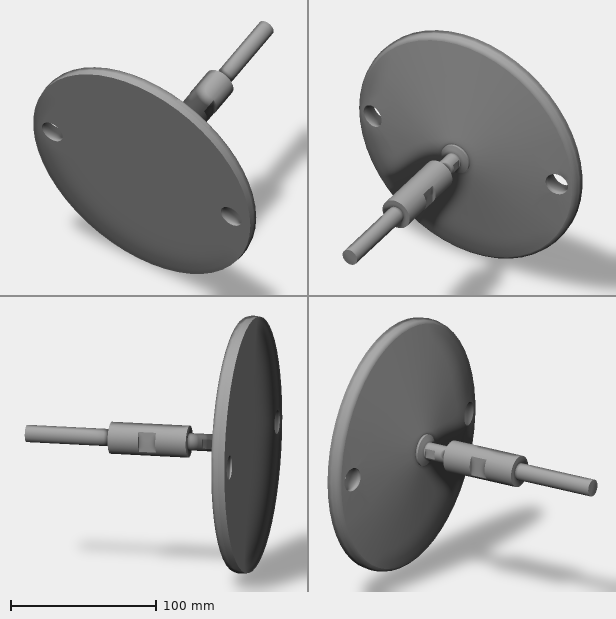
import cadquery as cq
import math

TOTAL_LENGTH = 160.0

PLATE_RADIUS = 89.0
RIM_EDGE_RADIUS = 88.5
RIM_WIDEST_HEIGHT = 4.5
RIM_TOP_HEIGHT = 7.1
SHOULDER_RADIUS = 86.2
SHOULDER_HEIGHT = 9.8
CONE_TOP_RADIUS = 11.7
CONE_TOP_HEIGHT = 22.8

HOLE_DIAMETER = 16.5
HOLE_CENTRE_OFFSET = 72.8
HOLE_CUT_MARGIN = 17.8

ROD_DIAMETER = 12.0
COLLAR_DIAMETER = 22.0
COLLAR_EDGE_HEIGHT = 24.4
COLLAR_TOP_HEIGHT = 26.2
SLEEVE_DIAMETER = 22.0
SLEEVE_START = 45.2
SLEEVE_END = 100.4
SLEEVE_FLATS_START = 66.8
SLEEVE_FLATS_END = 78.9
SLEEVE_FLATS_WIDTH = 17.0
ROD_FLATS_START = 27.2
ROD_FLATS_END = 34.9
ROD_FLATS_WIDTH = 10.0

cone_angle = math.atan2(CONE_TOP_HEIGHT - SHOULDER_HEIGHT, SHOULDER_RADIUS - CONE_TOP_RADIUS)


def rod_section(diameter, start, end):
    """Cylinder on the Y axis between two heights."""
    return cq.Workplane(cq.Solid.makeCylinder(
        diameter / 2, end - start, cq.Vector(0, start, 0), cq.Vector(0, 1, 0)))


def cut_flats(body, diameter, width, start, end):
    """Cut two opposite wrench flats facing -X and +X."""
    length = end - start
    depth = (diameter - width) / 2
    for side in (-1, 1):
        cutter = cq.Workplane("XY").box(2 * depth, length, diameter).translate(
            (side * (width / 2 + depth), start + length / 2, 0))
        body = body.cut(cutter)
    return body


def mounting_hole(side):
    """Cutter for one hole, leaning outward along the normal of the cone."""
    axis = cq.Vector(side * math.sin(cone_angle), math.cos(cone_angle), 0)
    start = cq.Vector(side * HOLE_CENTRE_OFFSET, 0, 0) - axis * HOLE_CUT_MARGIN
    length = CONE_TOP_HEIGHT + 2 * HOLE_CUT_MARGIN
    return cq.Solid.makeCylinder(HOLE_DIAMETER / 2, length, start, axis)


def make_foot_plate():
    """Conical disc with a rounded rim, a flat top and two tilted holes."""
    plate = (
        cq.Workplane("XY")
        .lineTo(RIM_EDGE_RADIUS, 0)
        .lineTo(PLATE_RADIUS, RIM_WIDEST_HEIGHT)
        .lineTo(RIM_EDGE_RADIUS, RIM_TOP_HEIGHT)
        .tangentArcPoint((SHOULDER_RADIUS, SHOULDER_HEIGHT), relative=False)
        .lineTo(CONE_TOP_RADIUS, CONE_TOP_HEIGHT)
        .lineTo(0, CONE_TOP_HEIGHT)
        .close()
        .revolve(360, (0, 0, 0), (0, 1, 0))
    )
    for side in (-1, 1):
        plate = plate.cut(mounting_hole(side))
    return plate


def make_collar():
    """Short cylinder that narrows in a bevel to the rod."""
    return (
        cq.Workplane("XY")
        .moveTo(0, CONE_TOP_HEIGHT)
        .lineTo(COLLAR_DIAMETER / 2, CONE_TOP_HEIGHT)
        .lineTo(COLLAR_DIAMETER / 2, COLLAR_EDGE_HEIGHT)
        .lineTo(ROD_DIAMETER / 2, COLLAR_TOP_HEIGHT)
        .lineTo(0, COLLAR_TOP_HEIGHT)
        .close()
        .revolve(360, (0, 0, 0), (0, 1, 0))
    )


def make_spindle():
    """Round rod on a collar, with a thicker sleeve; rod and sleeve each have two wrench flats."""
    rod = rod_section(ROD_DIAMETER, COLLAR_TOP_HEIGHT, TOTAL_LENGTH)
    rod = cut_flats(rod, ROD_DIAMETER, ROD_FLATS_WIDTH, ROD_FLATS_START, ROD_FLATS_END)
    sleeve = rod_section(SLEEVE_DIAMETER, SLEEVE_START, SLEEVE_END)
    sleeve = cut_flats(sleeve, SLEEVE_DIAMETER, SLEEVE_FLATS_WIDTH, SLEEVE_FLATS_START, SLEEVE_FLATS_END)
    return rod.union(sleeve).union(make_collar())


foot_plate = make_foot_plate()
spindle = make_spindle()
result = cq.Compound.makeCompound([foot_plate.solids().val(), spindle.solids().val()])